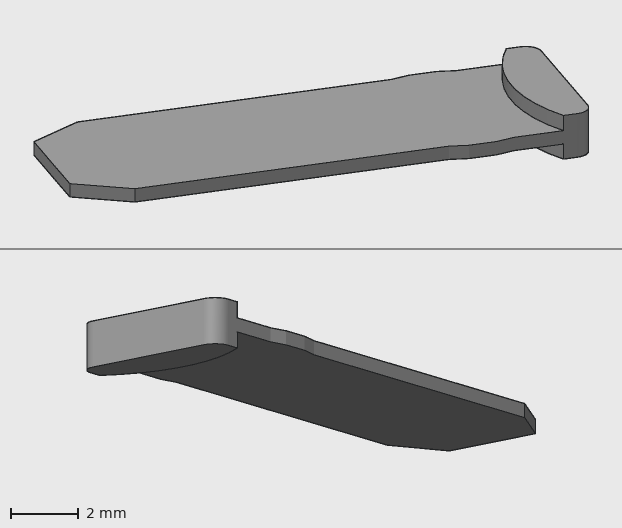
import cadquery as cq

length = 16.0
blade_width = 5.25
blade_thickness = 0.43
tip_width = 3.3
tip_length = 1.7
bulge_height = 0.13
bulge_base_length = 2.02
bulge_crest_length = 0.86
bulge_center_from_head = 3.49

head_height = 1.4
head_side_length = 0.93
head_center_length = 1.66
head_corner_radius = 0.5

half_width = blade_width / 2
head_end_y = length / 2
tip_end_y = -length / 2


def make_blade():
    """Symmetric strip, centred on the XY plane."""
    bulge_y = head_end_y - bulge_center_from_head
    crest_x = half_width + bulge_height
    right_side = [
        (half_width, head_end_y),
        (half_width, bulge_y + bulge_base_length / 2),
        (crest_x, bulge_y + bulge_crest_length / 2),
        (crest_x, bulge_y - bulge_crest_length / 2),
        (half_width, bulge_y - bulge_base_length / 2),
        (half_width, tip_end_y + tip_length),
        (tip_width / 2, tip_end_y),
    ]
    left_side = [(-x, y) for x, y in reversed(right_side)]
    outline = cq.Workplane("XY").polyline(right_side + left_side).close()
    return outline.extrude(blade_thickness / 2, both=True)


def make_head():
    """Block with a bowed inner face, standing proud of both blade faces."""
    side_y = head_end_y - head_side_length
    bow_y = head_end_y - head_center_length
    return (
        cq.Workplane("XY")
        .moveTo(-half_width, head_end_y)
        .lineTo(-half_width, side_y)
        .threePointArc((0, bow_y), (half_width, side_y))
        .lineTo(half_width, head_end_y)
        .close()
        .extrude(head_height / 2, both=True)
    )


head_corners = cq.selectors.BoxSelector(
    (-length, head_end_y - head_corner_radius / 2, -head_height),
    (length, head_end_y + head_corner_radius / 2, head_height),
)
result = make_blade().union(make_head()).clean()
result = result.edges("|Z").edges(head_corners).fillet(head_corner_radius)